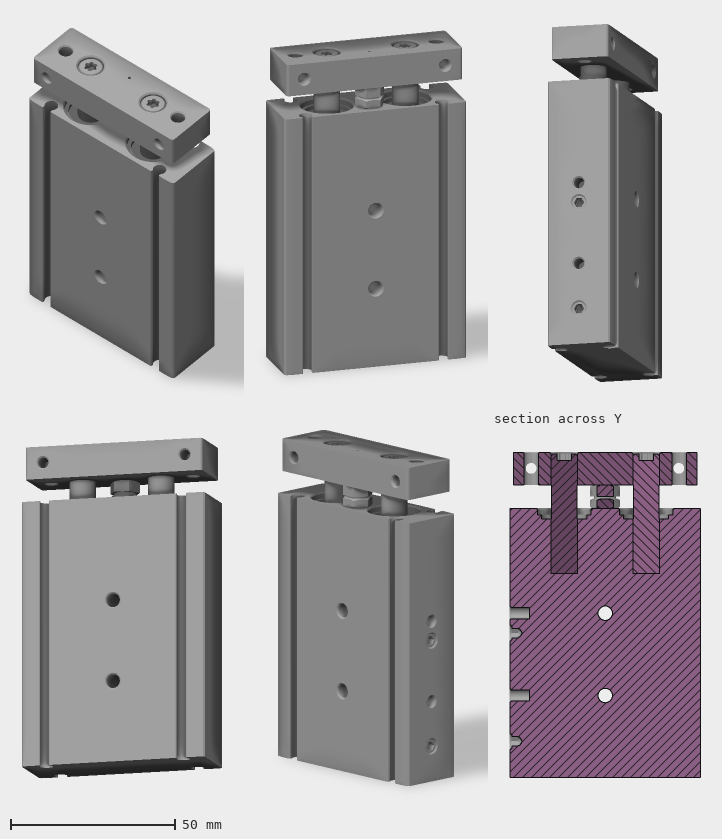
import cadquery as cq
import math


HEXAGON_SIDES = 6

HOUSING_WIDTH = 58.0
HOUSING_THICKNESS = 20.0
HOUSING_HEIGHT = 82.0
SIDE_CURVE_WIDTH = 3.1
SIDE_CURVE_DROP = 0.2
CORNER_BEVEL = 0.5

SLOT_X = 21.7
SLOT_MOUTH = 3.0
SLOT_MOUTH_BEVEL = 0.2
SLOT_ROUND_DIAMETER = 4.2
SLOT_ROUND_DEPTH = 2.3

ROD_X = 12.5
BORE_DIAMETER = 16.0
BORE_RIM_DIAMETER = 17.0
BORE_DEPTH = 2.0
INNER_BORE_DIAMETER = 13.6
INNER_BORE_DEPTH = 3.3

SMALL_HOLE = 3.3
SMALL_HOLE_RIM = 4.2
LARGE_HOLE = 4.3
LARGE_HOLE_RIM = 5.0
MOUNT_HEIGHTS = (24.9, 50.0)
SIDE_MOUNT_DEPTH = 5.9

PORT_HEIGHTS = (11.0, 44.0)
PORT_DIAMETER = 4.2
PORT_RIM_DIAMETER = 5.0
PORT_RECESS = 0.5
PORT_SOCKET_FLATS = 2.8
PORT_SOCKET_DEPTH = 2.5
PORT_DRILL_DIAMETER = 2.4
PORT_DRILL_DEPTH = 3.0
DRILL_TIP_ANGLE = 118

PLATE_WIDTH = 56.0
PLATE_THICKNESS = 18.0
PLATE_HEIGHT = 10.0
PLATE_GAP = 7.0
PLATE_CORNER_RADIUS = 0.9
PLATE_HOLE_X = 22.5
VENT_DIAMETER = 1.0

ROD_DIAMETER = 8.0
ROD_RIM_DIAMETER = 9.0
ROD_FACE_DIAMETER = 6.8
ROD_TOP_RECESS = 0.5
ROD_DEPTH_IN_HOUSING = 19.8
STAR_DIAMETER = 4.2
STAR_LOBES = 6
STAR_LOBE_DIAMETER = 1.2
STAR_CORE_DIAMETER = 3.3
STAR_DEPTH = 2.0

BOLT_Y = 3.5
HEX_FLATS = 8.0
HEX_FACE_DIAMETER = 7.3
HEX_BEVEL_ANGLE = 30
NUT_HEIGHT = 3.6
COLLAR_DIAMETER = 6.8
COLLAR_HEIGHT = 0.6
SHANK_DIAMETER = 5.0
SHANK_DEPTH_IN_PLATE = 5.9

PLATE_BOTTOM = HOUSING_HEIGHT + PLATE_GAP
PLATE_TOP = PLATE_BOTTOM + PLATE_HEIGHT
PLATE_MIDDLE = PLATE_BOTTOM + PLATE_HEIGHT / 2
NUT_BOTTOM = PLATE_BOTTOM - NUT_HEIGHT
HEAD_TOP = NUT_BOTTOM - COLLAR_HEIGHT
HEAD_HEIGHT = HEAD_TOP - HOUSING_HEIGHT


def cylinder(base, direction, diameter, length):
    return cq.Workplane(cq.Solid.makeCylinder(diameter / 2, length, cq.Vector(*base), cq.Vector(*direction)))


def rim_cone(mouth, direction, rim_diameter, bore_diameter):
    """A 45 degree bevel that opens a hole's mouth to the rim diameter."""
    depth = (rim_diameter - bore_diameter) / 2
    cone = cq.Solid.makeCone(
        rim_diameter / 2, bore_diameter / 2, depth, cq.Vector(*mouth), cq.Vector(*direction)
    )
    return cq.Workplane(cone)


def bevelled_hole(mouth, direction, bore_diameter, rim_diameter, depth):
    bore = cylinder(mouth, direction, bore_diameter, depth)
    return bore.union(rim_cone(mouth, direction, rim_diameter, bore_diameter))


def through_hole_along_y(x, z, half_thickness, bore_diameter, rim_diameter):
    """A through hole with a bevelled rim on both faces."""
    front = (x, -half_thickness, z)
    back = (x, half_thickness, z)
    hole = bevelled_hole(front, (0, 1, 0), bore_diameter, rim_diameter, 2 * half_thickness)
    return hole.union(rim_cone(back, (0, -1, 0), rim_diameter, bore_diameter))


def across_corners(flats):
    """The corner-to-corner size of a regular hexagon."""
    return flats / math.cos(math.pi / HEXAGON_SIDES)


def housing_blank():
    """The extruded housing: flat faces that curve down slightly to bevelled side corners."""
    half_width = HOUSING_WIDTH / 2
    half_thickness = HOUSING_THICKNESS / 2
    curve_x = half_width - SIDE_CURVE_WIDTH
    shoulder_x = half_width - CORNER_BEVEL
    shoulder_y = half_thickness - SIDE_CURVE_DROP
    side_y = shoulder_y - CORNER_BEVEL
    arc_middle_x = (curve_x + shoulder_x) / 2
    arc_middle_y = half_thickness - SIDE_CURVE_DROP / 4

    right_half = cq.Workplane("XY").moveTo(0, half_thickness).lineTo(curve_x, half_thickness)
    right_half = right_half.threePointArc((arc_middle_x, arc_middle_y), (shoulder_x, shoulder_y))
    right_half = right_half.lineTo(half_width, side_y).lineTo(half_width, -side_y)
    right_half = right_half.lineTo(shoulder_x, -shoulder_y)
    right_half = right_half.threePointArc((arc_middle_x, -arc_middle_y), (curve_x, -half_thickness))
    right_half = right_half.lineTo(0, -half_thickness)
    return right_half.mirrorY().extrude(HOUSING_HEIGHT)


def sensor_slot(x, side):
    """A keyhole slot: a round channel behind a narrower mouth with bevelled lips."""
    face = side * HOUSING_THICKNESS / 2
    channel_y = face - side * SLOT_ROUND_DEPTH
    half_mouth = SLOT_MOUTH / 2
    half_rim = half_mouth + SLOT_MOUTH_BEVEL
    lip_y = face - side * SLOT_MOUTH_BEVEL
    mouth_points = [
        (x - half_mouth, channel_y),
        (x - half_mouth, lip_y),
        (x - half_rim, face),
        (x + half_rim, face),
        (x + half_mouth, lip_y),
        (x + half_mouth, channel_y),
    ]
    mouth = cq.Workplane("XY").polyline(mouth_points).close().extrude(HOUSING_HEIGHT)
    return mouth.union(cylinder((x, channel_y, 0), (0, 0, 1), SLOT_ROUND_DIAMETER, HOUSING_HEIGHT))


def rod_bore(x):
    mouth = (x, 0, HOUSING_HEIGHT)
    down = (0, 0, -1)
    bore = bevelled_hole(mouth, down, BORE_DIAMETER, BORE_RIM_DIAMETER, BORE_DEPTH)
    bore = bore.union(cylinder(mouth, down, INNER_BORE_DIAMETER, INNER_BORE_DEPTH))
    return bore.union(cylinder(mouth, down, ROD_DIAMETER, ROD_DEPTH_IN_HOUSING))


def port(z):
    """A plugged port in the -X side: a shallow recess, a hexagon socket and a drilled, conical bottom."""
    mouth = (-HOUSING_WIDTH / 2, 0, z)
    inward = (1, 0, 0)
    recess = bevelled_hole(mouth, inward, PORT_DIAMETER, PORT_RIM_DIAMETER, PORT_RECESS)
    socket = cq.Workplane("YZ", origin=mouth).polygon(HEXAGON_SIDES, across_corners(PORT_SOCKET_FLATS))
    socket = socket.extrude(PORT_SOCKET_DEPTH)
    drill = cylinder(mouth, inward, PORT_DRILL_DIAMETER, PORT_DRILL_DEPTH)
    drill_radius = PORT_DRILL_DIAMETER / 2
    tip_length = drill_radius / math.tan(math.radians(DRILL_TIP_ANGLE / 2))
    tip_base = cq.Vector(mouth[0] + PORT_DRILL_DEPTH, 0, z)
    tip = cq.Workplane(cq.Solid.makeCone(drill_radius, 0, tip_length, tip_base, cq.Vector(*inward)))
    return recess.union(socket).union(drill).union(tip)


def make_housing():
    housing = housing_blank()
    for x in (-SLOT_X, SLOT_X):
        for side in (-1, 1):
            housing = housing.cut(sensor_slot(x, side))
    for x in (-ROD_X, ROD_X):
        housing = housing.cut(rod_bore(x))
    for z in MOUNT_HEIGHTS:
        housing = housing.cut(through_hole_along_y(0, z, HOUSING_THICKNESS / 2, LARGE_HOLE, LARGE_HOLE_RIM))
        side_mouth = (-HOUSING_WIDTH / 2, 0, z)
        housing = housing.cut(
            bevelled_hole(side_mouth, (1, 0, 0), SMALL_HOLE, SMALL_HOLE_RIM, SIDE_MOUNT_DEPTH)
        )
    for z in PORT_HEIGHTS:
        housing = housing.cut(port(z))
    return housing


def make_plate():
    """The plate, bored for the rods, with a small vent over the blind hole of the stop bolt."""
    plate = cq.Workplane("XY", origin=(0, 0, PLATE_BOTTOM)).rect(PLATE_WIDTH, PLATE_THICKNESS)
    plate = plate.extrude(PLATE_HEIGHT).edges("|Z").fillet(PLATE_CORNER_RADIUS)
    down = (0, 0, -1)
    for x in (-PLATE_HOLE_X, PLATE_HOLE_X):
        plate = plate.cut(bevelled_hole((x, 0, PLATE_TOP), down, LARGE_HOLE, LARGE_HOLE_RIM, PLATE_HEIGHT))
        plate = plate.cut(
            through_hole_along_y(x, PLATE_MIDDLE, PLATE_THICKNESS / 2, SMALL_HOLE, SMALL_HOLE_RIM)
        )
    for x in (-ROD_X, ROD_X):
        plate = plate.cut(
            bevelled_hole((x, 0, PLATE_TOP), down, ROD_DIAMETER, ROD_RIM_DIAMETER, PLATE_HEIGHT)
        )
    plate = plate.cut(cylinder((0, BOLT_Y, PLATE_TOP), down, VENT_DIAMETER, PLATE_HEIGHT))
    return plate.cut(cylinder((0, BOLT_Y, PLATE_BOTTOM), (0, 0, 1), SHANK_DIAMETER, SHANK_DEPTH_IN_PLATE))


def star_recess(x, top):
    """A six-lobed drive recess."""
    down = (0, 0, -1)
    recess = cylinder((x, 0, top), down, STAR_CORE_DIAMETER, STAR_DEPTH)
    lobe_circle_radius = (STAR_DIAMETER - STAR_LOBE_DIAMETER) / 2
    for i in range(STAR_LOBES):
        angle = 2 * math.pi * i / STAR_LOBES
        lobe_x = x + lobe_circle_radius * math.cos(angle)
        lobe_y = lobe_circle_radius * math.sin(angle)
        recess = recess.union(cylinder((lobe_x, lobe_y, top), down, STAR_LOBE_DIAMETER, STAR_DEPTH))
    return recess


def make_rod(x):
    """A rod seated in the housing and passing up through the plate to just below its top."""
    bottom = HOUSING_HEIGHT - ROD_DEPTH_IN_HOUSING
    top = PLATE_TOP - ROD_TOP_RECESS
    rod = cylinder((x, 0, bottom), (0, 0, 1), ROD_DIAMETER, top - bottom)
    rod = rod.faces(">Z").chamfer((ROD_DIAMETER - ROD_FACE_DIAMETER) / 2)
    return rod.cut(star_recess(x, top))


def hexagon_blank(bottom, height):
    """A plain hexagon prism on the stop bolt's axis."""
    base = cq.Workplane("XY", origin=(0, BOLT_Y, bottom))
    return base.polygon(HEXAGON_SIDES, across_corners(HEX_FLATS)).extrude(height)


def bevel_corners(hexagon, end_z, inward, height, face_diameter):
    """Trims the corners at one end of a hexagon with a cone that widens away from the end face."""
    end_radius = face_diameter / 2
    far_radius = end_radius + height / math.tan(math.radians(HEX_BEVEL_ANGLE))
    cone = cq.Solid.makeCone(end_radius, far_radius, height, cq.Vector(0, BOLT_Y, end_z), cq.Vector(*inward))
    return hexagon.intersect(cq.Workplane(cone))


def make_nut():
    nut = hexagon_blank(NUT_BOTTOM, NUT_HEIGHT)
    nut = bevel_corners(nut, PLATE_BOTTOM, (0, 0, -1), NUT_HEIGHT, HEX_FACE_DIAMETER)
    return nut.cut(cylinder((0, BOLT_Y, NUT_BOTTOM), (0, 0, 1), SHANK_DIAMETER, NUT_HEIGHT))


def make_bolt():
    up = (0, 0, 1)
    bolt = hexagon_blank(HOUSING_HEIGHT, HEAD_HEIGHT)
    bolt = bevel_corners(bolt, HEAD_TOP, (0, 0, -1), HEAD_HEIGHT, HEX_FACE_DIAMETER)
    bolt = bevel_corners(bolt, HOUSING_HEIGHT, up, HEAD_HEIGHT, HEX_FLATS)
    bolt = bolt.union(cylinder((0, BOLT_Y, HEAD_TOP), up, COLLAR_DIAMETER, COLLAR_HEIGHT))
    shank_length = NUT_HEIGHT + SHANK_DEPTH_IN_PLATE
    return bolt.union(cylinder((0, BOLT_Y, NUT_BOTTOM), up, SHANK_DIAMETER, shank_length))


housing = make_housing()
plate = make_plate()
rods = [make_rod(x) for x in (-ROD_X, ROD_X)]
nut = make_nut()
bolt = make_bolt()

result = cq.Compound.makeCompound(
    [housing.val(), plate.val(), *[rod.val() for rod in rods], nut.val(), bolt.val()]
)